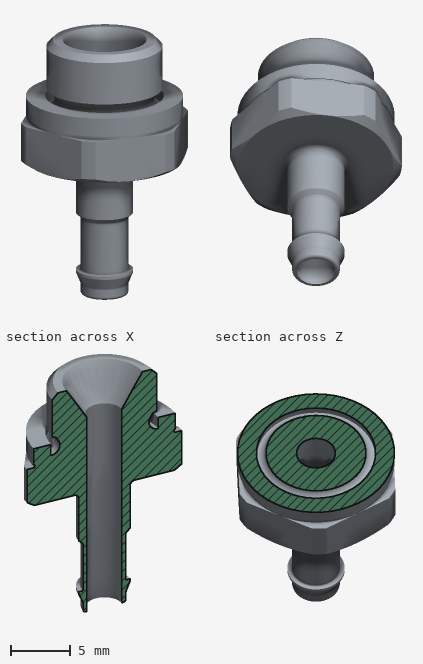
import cadquery as cq
import math

total_height = 22.2
thread_radius = 9.72 / 2
thread_bottom = 18.03
thread_lead_chamfer = 0.55
thread_end_chamfer = 0.13
relief_radius = 8.3 / 2
relief_top_fillet = 0.35
relief_cone_angle = 30

ring_radius = 13.15 / 2
ring_bore_radius = 9.9 / 2
ring_top = 17.32
ring_bottom = 15.72

hex_across_flats = 13.0
hex_corner_radius = 7.2
hex_top = 15.45
hex_bottom = 11.7
hex_chamfer_radius = 6.48
hex_chamfer_height = 0.47
collar_radius = hex_across_flats / 2

shoulder_radius = 4.8 / 2
stem_radius = 4 / 2
shoulder_fillet = 0.4
shoulder_bottom = 7.15
shoulder_cone_angle = 45
stem_fillet = 0.29

barb_radius = shoulder_radius
barb_top = 2.18
barb_land_bottom = 1.93
barb_cone_angle = 22.5
barb_root_fillet = 0.09
tip_fillet = 0.27

bore_radius = 3.2 / 2
mouth_radius = 3.53
mouth_depth = 3.17


def cylinder(radius, bottom, top):
    return cq.Workplane("XY").workplane(offset=bottom).circle(radius).extrude(top - bottom)


def add_quarter_fillet(profile, start, end, center):
    """Append the short quarter arc from start to end around center."""
    radius = math.dist(start, center)
    lean = ((start[0] + end[0]) / 2 - center[0], (start[1] + end[1]) / 2 - center[1])
    scale = radius / math.hypot(*lean)
    middle = (center[0] + lean[0] * scale, center[1] + lean[1] * scale)
    return profile.threePointArc(middle, end)


def add_cone_to_stem(profile, start, angle_degrees):
    """Append a cone narrowing downward from start, blended into the stem cylinder."""
    angle = math.radians(angle_degrees)
    blend_center_radius = stem_radius + stem_fillet

    def blend_radius(turn):
        return blend_center_radius - stem_fillet * math.cos(turn)

    cone_end_radius = blend_radius(angle)
    cone_end_z = start[1] - (start[0] - cone_end_radius) / math.tan(angle)
    blend_bottom = cone_end_z - stem_fillet * math.sin(angle)
    middle = (blend_radius(angle / 2), blend_bottom + stem_fillet * math.sin(angle / 2))
    profile = profile.lineTo(cone_end_radius, cone_end_z)
    return profile.threePointArc(middle, (stem_radius, blend_bottom))


def make_threaded_end():
    lip_radius = thread_radius - thread_end_chamfer
    lip_z = thread_bottom - thread_end_chamfer
    angle = math.radians(relief_cone_angle)

    cone_top_radius = lip_radius - relief_top_fillet * math.cos(angle)
    cone_top_z = lip_z - relief_top_fillet * (1 - math.sin(angle))
    half_turn = (math.pi / 2 - angle) / 2
    top_fillet_middle = (
        lip_radius - relief_top_fillet * math.sin(half_turn),
        lip_z - relief_top_fillet * (1 - math.cos(half_turn)),
    )

    root_arc_radius = ring_bore_radius - relief_radius
    cone_bottom_radius = ring_bore_radius - root_arc_radius * math.cos(angle)
    cone_bottom_z = cone_top_z - (cone_top_radius - cone_bottom_radius) / math.tan(angle)
    root_arc_z = cone_bottom_z - root_arc_radius * math.sin(angle)
    groove_floor_z = root_arc_z - root_arc_radius

    profile = (
        cq.Workplane("XZ")
        .moveTo(0, total_height)
        .lineTo(thread_radius - thread_lead_chamfer, total_height)
        .lineTo(thread_radius, total_height - thread_lead_chamfer)
        .lineTo(thread_radius, thread_bottom)
        .lineTo(lip_radius, lip_z)
        .threePointArc(top_fillet_middle, (cone_top_radius, cone_top_z))
        .lineTo(cone_bottom_radius, cone_bottom_z)
        .threePointArc((relief_radius, root_arc_z), (ring_bore_radius, groove_floor_z))
        .lineTo(ring_bore_radius, hex_top)
        .lineTo(0, hex_top)
        .close()
    )
    return profile.revolve(360, (0, 0), (0, 1))


def make_sealing_ring():
    ring = cylinder(ring_radius, ring_bottom, ring_top)
    return ring.cut(cylinder(ring_bore_radius, ring_bottom, ring_top))


def make_hexagon():
    corner_diameter = hex_across_flats / math.cos(math.pi / 6)
    prism = (
        cq.Workplane("XY")
        .workplane(offset=hex_bottom)
        .transformed(rotate=(0, 0, 90))
        .polygon(6, corner_diameter)
        .extrude(hex_top - hex_bottom)
    )
    envelope = (
        cq.Workplane("XZ")
        .moveTo(0, hex_bottom)
        .lineTo(hex_chamfer_radius, hex_bottom)
        .lineTo(hex_corner_radius, hex_bottom + hex_chamfer_height)
        .lineTo(hex_corner_radius, hex_top)
        .lineTo(0, hex_top)
        .close()
        .revolve(360, (0, 0), (0, 1))
    )
    return prism.intersect(envelope)


def make_hose_stem():
    flare_radius = shoulder_radius + shoulder_fillet
    flare_bottom = hex_bottom - shoulder_fillet
    profile = cq.Workplane("XZ").moveTo(0, hex_top).lineTo(flare_radius, hex_top)
    profile = profile.lineTo(flare_radius, hex_bottom)
    profile = add_quarter_fillet(
        profile, (flare_radius, hex_bottom), (shoulder_radius, flare_bottom), (flare_radius, flare_bottom)
    )
    profile = profile.lineTo(shoulder_radius, shoulder_bottom)
    profile = add_cone_to_stem(profile, (shoulder_radius, shoulder_bottom), shoulder_cone_angle)

    root_radius = stem_radius + barb_root_fillet
    root_top = barb_top + barb_root_fillet
    profile = profile.lineTo(stem_radius, root_top)
    profile = add_quarter_fillet(
        profile, (stem_radius, root_top), (root_radius, barb_top), (root_radius, root_top)
    )
    profile = profile.lineTo(barb_radius, barb_top).lineTo(barb_radius, barb_land_bottom)
    profile = add_cone_to_stem(profile, (barb_radius, barb_land_bottom), barb_cone_angle)

    tip_radius = stem_radius - tip_fillet
    profile = profile.lineTo(stem_radius, tip_fillet)
    profile = add_quarter_fillet(
        profile, (stem_radius, tip_fillet), (tip_radius, 0), (tip_radius, tip_fillet)
    )
    return profile.lineTo(0, 0).close().revolve(360, (0, 0), (0, 1))


def make_bore():
    mouth_bottom = total_height - mouth_depth
    profile = cq.Workplane("XZ").polyline(
        [
            (0, 0),
            (bore_radius, 0),
            (bore_radius, mouth_bottom),
            (mouth_radius, total_height),
            (0, total_height),
        ]
    )
    return profile.close().revolve(360, (0, 0), (0, 1))


result = (
    make_hexagon()
    .union(cylinder(collar_radius, hex_top, ring_bottom))
    .union(make_sealing_ring())
    .union(make_threaded_end())
    .union(make_hose_stem())
    .cut(make_bore())
)